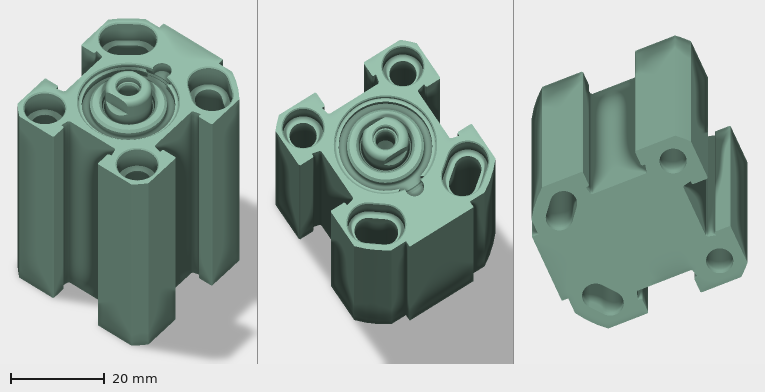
import cadquery as cq
import math


HOUSING_HEIGHT = 52.0
HALF_WIDTH = 18.0
CORNER_DIAMETER = 47.4
SHOULDER_Y = 20.5
PAD_Y = 22.0
PAD_WIDTH = 16.3

SLOT_HALF_OPENING = 6.05
SLOT_LIP = 3.7
SLOT_DEPTH = 5.7
SLOT_HALF_UNDERCUT = 6.9
SLOT_HALF_WAIST = 6.5
SLOT_HALF_FLOOR = 6.2
SLOT_FLOOR_BEVEL = 0.3
SLOT_LIP_BEVEL = 0.2

HOLE_OFFSET = 12.7
HOLE_DIAMETER = 5.8
COUNTERBORE_DIAMETER = 8.8
COUNTERBORE_DEPTH = 5.5
COUNTERBORE_CHAMFER = 0.255
LONG_HOLE_TRAVEL = 3.55
LONG_HOLE_ANGLE = 38.0

BORE_DIAMETER = 21.6
BORE_CHAMFER = 0.255
COVER_TOP = HOUSING_HEIGHT - 2.5
COVER_BOTTOM = COVER_TOP - 10.0
COVER_EDGE_CHAMFER = 0.2
BOSS_DIAMETER = 16.5
BOSS_TOP = HOUSING_HEIGHT - 0.45
BOSS_CHAMFER = 0.54
BOSS_FILLET = 0.45
COVER_MOUTH_CHAMFER = 0.55

RING_OUTER_DIAMETER = 22.8
RING_INNER_DIAMETER = 20.0
RING_TOP = HOUSING_HEIGHT - 1.1
RING_BOTTOM = COVER_TOP
RING_GAP_HALF_WIDTH = 2.55
RING_GAP_FLARE_Y = 9.65
RING_GAP_FLARE_ANGLE = 60.0
GROOVE_CLEARANCE = 0.15
NOTCH_DIAMETER = 4.15
NOTCH_Y = 11.35

ROD_DIAMETER = 10.0
ROD_TOP = 57.0
ROD_FILLET = 1.25
FLATS_WIDTH = 8.0
FLATS_LENGTH = 3.55
SOCKET_DIAMETER = 5.25
SOCKET_DEPTH = 1.65
SOCKET_CHAMFER = 0.3
DRILL_DIAMETER = 4.15
DRILL_DEPTH = 8.55
DRILL_CHAMFER_DIAMETER = 4.7
DRILL_CHAMFER_DEPTH = 0.5
DRILL_TIP_ANGLE = 118.0

SEAL_DIAMETER = 11.4
SEAL_TOP = BOSS_TOP - 1.2
SEAL_BOTTOM = SEAL_TOP - 2.85
SEAL_LIP_OUTER_DIAMETER = 10.95
SEAL_LIP_INNER_DIAMETER = 10.5
SEAL_LIP_OUTER_SLOPE = 0.7
SEAL_LIP_INNER_SLOPE = 1.7


def cylinder(diameter, bottom, top):
    return cq.Workplane("XY").workplane(offset=bottom).circle(diameter / 2).extrude(top - bottom)


def revolved(points):
    """Revolve a closed outline of (radius, height) points about the Z axis."""
    return cq.Workplane("XZ").polyline(points).close().revolve(360, (0, 0, 0), (0, 1, 0))


def mirrored_prism(half_outline):
    """Extrude an outline, given by its +X half, over the height of the housing."""
    other_half = [(-x, y) for x, y in reversed(half_outline)]
    return cq.Workplane("XY").polyline(half_outline + other_half).close().extrude(HOUSING_HEIGHT)


def housing_block():
    depth = HALF_WIDTH + SHOULDER_Y
    block = (
        cq.Workplane("XY")
        .center(0, SHOULDER_Y - depth / 2)
        .rect(2 * HALF_WIDTH, depth)
        .extrude(HOUSING_HEIGHT)
        .intersect(cylinder(CORNER_DIAMETER, 0, HOUSING_HEIGHT))
    )
    pad = cq.Workplane("XY").center(0, PAD_Y / 2).rect(PAD_WIDTH, PAD_Y).extrude(HOUSING_HEIGHT)
    return block.union(pad)


def t_slot(turn):
    """T-slot in the -Y side, turned about the axis to the side that needs it."""
    lip_y = SLOT_LIP - HALF_WIDTH
    floor_y = SLOT_DEPTH - HALF_WIDTH
    half_outline = [
        (SLOT_HALF_OPENING + SLOT_LIP_BEVEL, -HALF_WIDTH),
        (SLOT_HALF_OPENING, SLOT_LIP_BEVEL - HALF_WIDTH),
        (SLOT_HALF_OPENING, lip_y - SLOT_LIP_BEVEL),
        (SLOT_HALF_OPENING + SLOT_LIP_BEVEL, lip_y),
        (SLOT_HALF_UNDERCUT, lip_y),
        (SLOT_HALF_WAIST, floor_y - SLOT_FLOOR_BEVEL),
        (SLOT_HALF_FLOOR, floor_y),
    ]
    return mirrored_prism(half_outline).rotate((0, 0, 0), (0, 0, 1), turn)


def hole_prism(diameter, travel, depth):
    """Round or elongated hole going down from the top face, one end centre on the Z axis."""
    top = cq.Workplane("XY").workplane(offset=HOUSING_HEIGHT)
    if travel:
        outline = top.center(travel / 2, 0).slot2D(travel + diameter, diameter)
    else:
        outline = top.circle(diameter / 2)
    return outline.extrude(-depth)


def mounting_hole(x, y, travel, angle):
    mouth_diameter = COUNTERBORE_DIAMETER + 2 * COUNTERBORE_CHAMFER
    slope = hole_prism(mouth_diameter, travel, 2 * COUNTERBORE_CHAMFER)
    slope = slope.faces("<Z").chamfer(COUNTERBORE_CHAMFER).translate((0, 0, COUNTERBORE_CHAMFER))
    through = hole_prism(HOLE_DIAMETER, travel, HOUSING_HEIGHT)
    counterbore = hole_prism(COUNTERBORE_DIAMETER, travel, COUNTERBORE_DEPTH)
    hole = through.union(counterbore).union(slope)
    return hole.rotate((0, 0, 0), (0, 0, 1), angle).translate((x, y, 0))


def cover_bore():
    radius = BORE_DIAMETER / 2
    bore = revolved([
        (0, COVER_BOTTOM),
        (radius, COVER_BOTTOM),
        (radius, HOUSING_HEIGHT - BORE_CHAMFER),
        (radius + BORE_CHAMFER, HOUSING_HEIGHT),
        (0, HOUSING_HEIGHT),
    ])
    groove = cylinder(RING_OUTER_DIAMETER, COVER_TOP - GROOVE_CLEARANCE, RING_TOP)
    notch = cylinder(NOTCH_DIAMETER, COVER_TOP, HOUSING_HEIGHT).translate((0, NOTCH_Y, 0))
    return bore.union(groove).union(notch)


def make_housing():
    housing = housing_block().cut(t_slot(0))
    for side in (-1, 1):
        x = side * HOLE_OFFSET
        long_hole_angle = 90 + side * (90 - LONG_HOLE_ANGLE)
        housing = housing.cut(t_slot(side * 90))
        housing = housing.cut(mounting_hole(x, -HOLE_OFFSET, 0, 0))
        housing = housing.cut(mounting_hole(x, HOLE_OFFSET, LONG_HOLE_TRAVEL, long_hole_angle))
    return housing.cut(cover_bore())


def make_snap_ring():
    ring = cylinder(RING_OUTER_DIAMETER, RING_BOTTOM, RING_TOP)
    ring = ring.cut(cylinder(RING_INNER_DIAMETER, RING_BOTTOM, RING_TOP))
    gap_end_y = RING_OUTER_DIAMETER / 2
    flare = (gap_end_y - RING_GAP_FLARE_Y) * math.tan(math.radians(RING_GAP_FLARE_ANGLE))
    gap = mirrored_prism([
        (RING_GAP_HALF_WIDTH, 0),
        (RING_GAP_HALF_WIDTH, RING_GAP_FLARE_Y),
        (RING_GAP_HALF_WIDTH + flare, gap_end_y),
    ])
    return ring.cut(gap)


def make_cover():
    disc = cylinder(BORE_DIAMETER, COVER_BOTTOM, COVER_TOP).faces(">Z").chamfer(COVER_EDGE_CHAMFER)
    boss = cylinder(BOSS_DIAMETER, COVER_TOP, BOSS_TOP).faces(">Z").chamfer(BOSS_CHAMFER)
    half_box = BOSS_DIAMETER / 2 + BOSS_FILLET
    boss_foot = cq.selectors.BoxSelector(
        (-half_box, -half_box, COVER_TOP - BOSS_FILLET),
        (half_box, half_box, COVER_TOP + BOSS_FILLET),
        boundingbox=True,
    )
    cover = disc.union(boss).edges(boss_foot).fillet(BOSS_FILLET)
    seal_radius = SEAL_DIAMETER / 2
    opening = revolved([
        (0, COVER_BOTTOM),
        (ROD_DIAMETER / 2, COVER_BOTTOM),
        (ROD_DIAMETER / 2, SEAL_BOTTOM),
        (seal_radius, SEAL_BOTTOM),
        (seal_radius, BOSS_TOP - COVER_MOUTH_CHAMFER),
        (seal_radius + COVER_MOUTH_CHAMFER, BOSS_TOP),
        (0, BOSS_TOP),
    ])
    return cover.cut(opening)


def make_seal():
    return revolved([
        (ROD_DIAMETER / 2, SEAL_BOTTOM),
        (SEAL_DIAMETER / 2, SEAL_BOTTOM),
        (SEAL_DIAMETER / 2, SEAL_TOP - SEAL_LIP_OUTER_SLOPE),
        (SEAL_LIP_OUTER_DIAMETER / 2, SEAL_TOP),
        (SEAL_LIP_INNER_DIAMETER / 2, SEAL_TOP),
        (ROD_DIAMETER / 2, SEAL_TOP - SEAL_LIP_INNER_SLOPE),
    ])


def wrench_flat():
    """Cutter for the flat on the +Y side, running out at 45 degrees at its lower end."""
    flat_y = FLATS_WIDTH / 2
    outer_y = ROD_DIAMETER / 2
    flat_bottom = ROD_TOP - FLATS_LENGTH
    outline = [
        (flat_y, ROD_TOP),
        (flat_y, flat_bottom),
        (outer_y, flat_bottom - (outer_y - flat_y)),
        (outer_y, ROD_TOP),
    ]
    return cq.Workplane("YZ").polyline(outline).close().extrude(ROD_DIAMETER, both=True)


def rod_socket():
    socket_radius = SOCKET_DIAMETER / 2
    drill_radius = DRILL_DIAMETER / 2
    socket_floor = ROD_TOP - SOCKET_DEPTH
    drill_floor = ROD_TOP - DRILL_DEPTH
    tip_height = drill_radius / math.tan(math.radians(DRILL_TIP_ANGLE / 2))
    return revolved([
        (0, drill_floor - tip_height),
        (drill_radius, drill_floor),
        (drill_radius, socket_floor - DRILL_CHAMFER_DEPTH),
        (DRILL_CHAMFER_DIAMETER / 2, socket_floor),
        (socket_radius, socket_floor),
        (socket_radius, ROD_TOP - SOCKET_CHAMFER),
        (socket_radius + SOCKET_CHAMFER, ROD_TOP),
        (0, ROD_TOP),
    ])


def make_rod():
    rod = cylinder(ROD_DIAMETER, COVER_BOTTOM, ROD_TOP).faces(">Z").edges().fillet(ROD_FILLET)
    flat = wrench_flat()
    return rod.cut(flat).cut(flat.mirror("XZ")).cut(rod_socket())


housing = make_housing()
snap_ring = make_snap_ring()
cover = make_cover()
seal = make_seal()
rod = make_rod()

result = cq.Compound.makeCompound([housing.val(), snap_ring.val(), cover.val(), seal.val(), rod.val()])